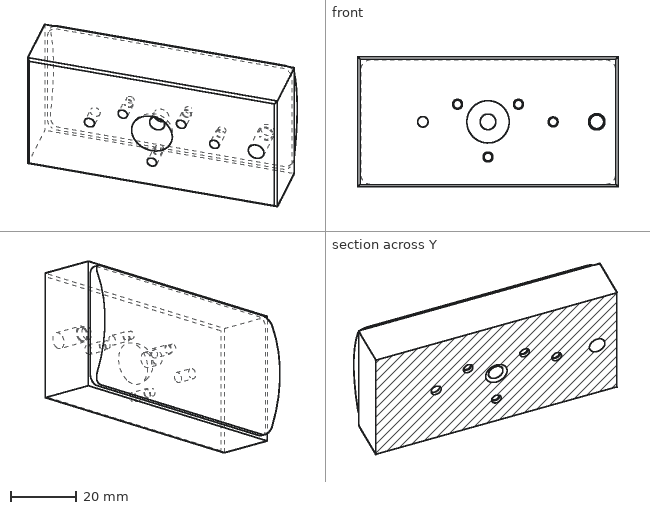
import cadquery as cq
import math

length = 80.01
height = 40.01
housing_depth = 19.0
front_chamfer = 0.75

overall_depth = 25.22
lid_inset = 0.9
lid_corner_radius = 3.0
crown_radius = 41.0

seat_radius = 6.5
seat_depth = 6.0
seat_bore_diameter = 4.8
seat_bore_depth = 10.0

thread_diameter = 3.0
core_diameter = 2.5
thread_depth = 6.0
core_depth = 8.0
bolt_circle_radius = 10.8
bolt_angles = (30, 150, 270)

outer_hole_x = 20.0
plain_hole_diameter = 3.2
plain_hole_depth = 6.0
drill_point_angle = 118.0

large_hole_x = 33.4
large_thread_diameter = 5.0
large_core_diameter = 4.2
large_thread_depth = 10.0
large_core_depth = 12.0

front_y = -overall_depth / 2
joint_y = front_y + housing_depth
crown_y = front_y + overall_depth


def front_bore(x, z, diameter, depth):
    """Cylinder running from the front face into the housing."""
    return cq.Workplane(
        cq.Solid.makeCylinder(diameter / 2, depth, cq.Vector(x, front_y, z), cq.Vector(0, 1, 0))
    )


def drilled_bore(x, z, diameter, depth):
    """Front bore that ends in a conical drill point."""
    radius = diameter / 2
    point_length = radius / math.tan(math.radians(drill_point_angle / 2))
    point = cq.Solid.makeCone(
        radius, 0, point_length, cq.Vector(x, front_y + depth, z), cq.Vector(0, 1, 0)
    )
    return front_bore(x, z, diameter, depth).union(cq.Workplane(point))


def tapped_hole(x, z):
    """Small tapped hole: thread bore plus pointed core."""
    thread = front_bore(x, z, thread_diameter, thread_depth)
    return thread.union(drilled_bore(x, z, core_diameter, core_depth))


def spherical_seat():
    """Spherical cap sunk into the front face, turned about the Y axis."""
    ball_radius = (seat_radius**2 + seat_depth**2) / (2 * seat_depth)
    half_angle = math.asin(seat_radius / ball_radius) / 2
    mid_x = ball_radius * math.sin(half_angle)
    mid_depth = seat_depth - ball_radius * (1 - math.cos(half_angle))
    half_profile = (
        cq.Workplane("XY", origin=(0, front_y, 0))
        .lineTo(seat_radius, 0)
        .threePointArc((mid_x, mid_depth), (0, seat_depth))
        .close()
    )
    return half_profile.revolve(360, (0, 0, 0), (0, 1, 0))


def make_housing():
    block = cq.Workplane("XY").box(length, housing_depth, height)
    block = block.translate((0, front_y + housing_depth / 2, 0))
    block = block.faces("<Y").chamfer(front_chamfer)

    block = block.cut(spherical_seat())
    block = block.cut(front_bore(0, 0, seat_bore_diameter, seat_bore_depth))

    for angle in bolt_angles:
        x = bolt_circle_radius * math.cos(math.radians(angle))
        z = bolt_circle_radius * math.sin(math.radians(angle))
        block = block.cut(tapped_hole(x, z))

    block = block.cut(drilled_bore(-outer_hole_x, 0, plain_hole_diameter, plain_hole_depth))
    block = block.cut(tapped_hole(outer_hole_x, 0))

    block = block.cut(front_bore(large_hole_x, 0, large_thread_diameter, large_thread_depth))
    return block.cut(front_bore(large_hole_x, 0, large_core_diameter, large_core_depth))


def make_lid():
    lid_length = length - 2 * lid_inset
    lid_height = height - 2 * lid_inset
    lid_depth = crown_y - joint_y
    plate = cq.Workplane("XY").box(lid_length, lid_depth, lid_height)
    plate = plate.translate((0, joint_y + lid_depth / 2, 0))
    plate = plate.edges("|Y").fillet(lid_corner_radius)

    crown = cq.Workplane("YZ").center(crown_y - crown_radius, 0).circle(crown_radius)
    return plate.intersect(crown.extrude(length / 2, both=True))


housing = make_housing()
lid = make_lid()

result = cq.Compound.makeCompound([housing.val(), lid.val()])